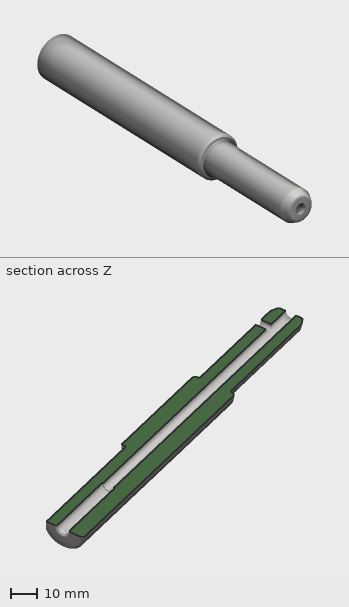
import cadquery as cq
import math

total_length = 152.4
shoulder_face = 101.7
nose_length = 3.2

body_radius = 19.0 / 2
pin_radius = 14.3 / 2

body_chamfer = 1.0
shoulder_chamfer = 0.9
shoulder_fillet = 0.9
nose_angle = math.radians(27)
nose_fillet = 1.5

flat_length = 53.0
flat_offset = 7.5

bore_diameter = 4.7
entry_diameter = 5.5
entry_depth = 30.5
countersink_diameter = 6.9

cross_diameter = 3.4
cross_x = 141.0


def stepped_shaft():
    """Revolve the body, the shoulder, the pin and its rounded nose about X."""
    nose_start = total_length - nose_length
    fillet_x = total_length - nose_fillet
    cone_end_x = fillet_x + nose_fillet * math.sin(nose_angle)
    cone_end_radius = pin_radius - (cone_end_x - nose_start) * math.tan(nose_angle)
    tip_radius = cone_end_radius - nose_fillet * math.cos(nose_angle)
    middle_angle = (nose_angle + math.pi / 2) / 2
    fillet_middle = (
        fillet_x + nose_fillet * math.sin(middle_angle),
        tip_radius + nose_fillet * math.cos(middle_angle),
    )
    root_offset = shoulder_fillet * (1 - math.sqrt(0.5))
    profile = (
        cq.Workplane("XY")
        .lineTo(0, body_radius - body_chamfer)
        .lineTo(body_chamfer, body_radius)
        .lineTo(shoulder_face - shoulder_chamfer, body_radius)
        .lineTo(shoulder_face, body_radius - shoulder_chamfer)
        .lineTo(shoulder_face, pin_radius + shoulder_fillet)
        .threePointArc(
            (shoulder_face + root_offset, pin_radius + root_offset),
            (shoulder_face + shoulder_fillet, pin_radius),
        )
        .lineTo(nose_start, pin_radius)
        .lineTo(cone_end_x, cone_end_radius)
        .threePointArc(fillet_middle, (total_length, tip_radius))
        .lineTo(total_length, 0)
        .close()
    )
    return profile.revolve(360, (0, 0, 0), (1, 0, 0))


def flat_cutter():
    """Block that removes the body beyond the flat."""
    return cq.Workplane("XY").box(
        flat_length, body_radius, 2 * body_radius, centered=(False, False, True)
    ).translate((0, flat_offset, 0))


def bore_cutter():
    """Through bore with a wider, countersunk entry."""
    countersink_depth = (countersink_diameter - entry_diameter) / 2
    profile = (
        cq.Workplane("XY")
        .lineTo(0, countersink_diameter / 2)
        .lineTo(countersink_depth, entry_diameter / 2)
        .lineTo(entry_depth, entry_diameter / 2)
        .lineTo(entry_depth, bore_diameter / 2)
        .lineTo(total_length, bore_diameter / 2)
        .lineTo(total_length, 0)
        .close()
    )
    return profile.revolve(360, (0, 0, 0), (1, 0, 0))


def cross_hole_cutter():
    """Radial hole from the bore axis out through the +Y side of the pin."""
    return (
        cq.Workplane("XZ", origin=(cross_x, 0, 0))
        .circle(cross_diameter / 2)
        .extrude(-body_radius)
    )


result = stepped_shaft().cut(flat_cutter()).cut(bore_cutter()).cut(cross_hole_cutter())